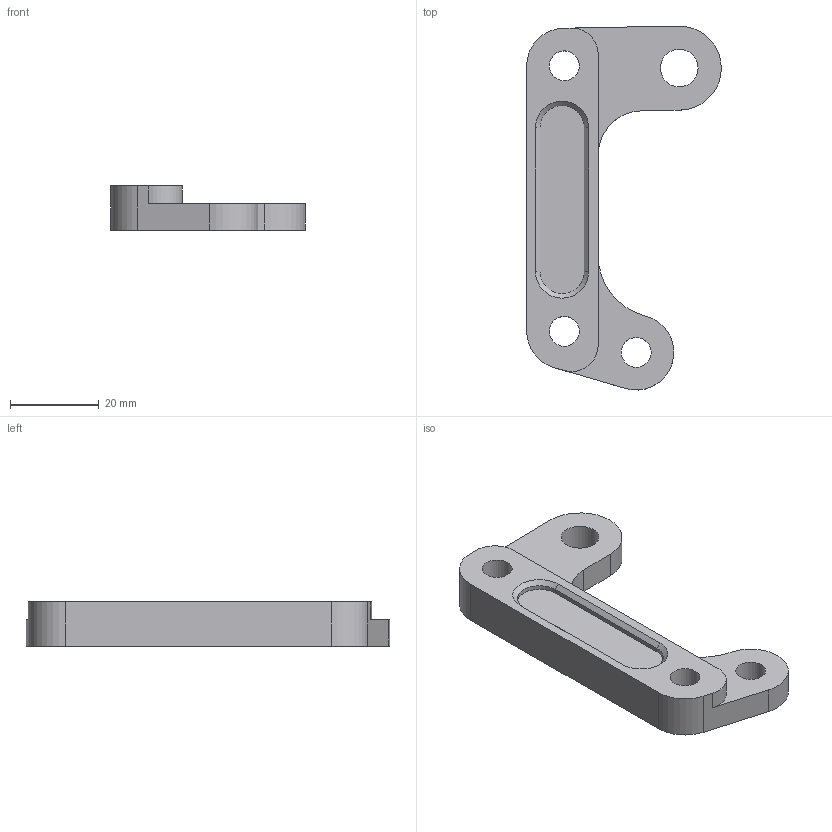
import cadquery as cq
import math

base_height = 6.0
total_height = 10.0

bar_width = 16.15
bar_end_radius = 8.5
hole_spacing = 60.0
raised_corner_radius = 6.0
lower_bar_centre = (bar_end_radius, 0.0)
upper_bar_centre = (bar_end_radius, hole_spacing)

lower_lug_radius = 8.5
upper_lug_radius = 9.5
lower_lug_centre = (bar_end_radius + 16.25, -4.75)
upper_lug_centre = (bar_end_radius + 25.97, hole_spacing - 0.5)

lower_blend_radius = 14.0
upper_blend_radius = 10.0

small_hole_diameter = 6.75
large_hole_diameter = 8.5

pocket_centre = (8.0, 29.75)
pocket_length = 42.5
pocket_width = 10.0
pocket_depth = 2.0
pocket_chamfer = 1.0


def point_at(centre, radius, angle):
    """Point on a circle, with the angle in radians from +X."""
    return (centre[0] + radius * math.cos(angle), centre[1] + radius * math.sin(angle))


def outer_edge_normal(bar_centre, lug_centre, lug_radius, side):
    """Outward normal of the line tangent to bar end and lug; side is +1 above, -1 below."""
    axis_angle = math.atan2(lug_centre[1] - bar_centre[1], lug_centre[0] - bar_centre[0])
    spread = math.acos((bar_end_radius - lug_radius) / math.dist(bar_centre, lug_centre))
    return axis_angle + side * spread


def blend_centre(lug_centre, lug_radius, blend_radius, inner_normal):
    """Centre of the arc that is tangent to the lug's inner edge and the bar's right face."""
    above_lug = point_at(lug_centre, lug_radius + blend_radius, inner_normal)
    edge_angle = inner_normal + math.pi / 2
    slide = (bar_width + blend_radius - above_lug[0]) / math.cos(edge_angle)
    return point_at(above_lug, slide, edge_angle)


def make_outline():
    """Outline of the bar and both lugs: six arcs joined by straight lines."""
    lower_normal = outer_edge_normal(lower_bar_centre, lower_lug_centre, lower_lug_radius, -1)
    upper_normal = outer_edge_normal(upper_bar_centre, upper_lug_centre, upper_lug_radius, 1)
    lower_inner = lower_normal + math.pi
    upper_inner = upper_normal - math.pi
    lower_blend = blend_centre(lower_lug_centre, lower_lug_radius, lower_blend_radius, lower_inner)
    upper_blend = blend_centre(upper_lug_centre, upper_lug_radius, upper_blend_radius, upper_inner)

    arcs = [
        (lower_bar_centre, bar_end_radius, -math.pi, lower_normal),
        (lower_lug_centre, lower_lug_radius, lower_normal, lower_inner),
        (lower_blend, lower_blend_radius, lower_normal, -math.pi),
        (upper_blend, upper_blend_radius, math.pi, upper_normal),
        (upper_lug_centre, upper_lug_radius, upper_inner, upper_normal),
        (upper_bar_centre, bar_end_radius, upper_normal, math.pi),
    ]
    first_centre, first_radius, first_angle, _ = arcs[0]
    outline = cq.Workplane("XY").moveTo(*point_at(first_centre, first_radius, first_angle))
    for index, (centre, radius, start, end) in enumerate(arcs):
        if index > 0:
            outline = outline.lineTo(*point_at(centre, radius, start))
        middle = (start + end) / 2
        outline = outline.threePointArc(point_at(centre, radius, middle), point_at(centre, radius, end))
    return outline.close()


def make_body():
    """Base plate with the raised bar, whose right-hand corners are rounded."""
    base = make_outline().extrude(base_height)
    bar_limit = (
        cq.Workplane("XY", origin=(0, hole_spacing / 2, base_height))
        .box(bar_width, 2 * hole_spacing, total_height - base_height, centered=(False, True, False))
    )
    raised_bar = make_outline().extrude(total_height).intersect(bar_limit)
    raised_bar = raised_bar.edges("|Z and >X").fillet(raised_corner_radius)
    return base.union(raised_bar)


def make_holes(centres, diameter):
    """Cylinders that cut through the full height."""
    return cq.Workplane("XY").pushPoints(centres).circle(diameter / 2).extrude(total_height)


def make_pocket():
    """Straight-walled slot with a chamfered mouth."""
    slot = (
        cq.Workplane("XY", origin=(*pocket_centre, total_height))
        .slot2D(pocket_length, pocket_width, 90)
        .extrude(-pocket_depth)
    )
    mouth = (
        cq.Workplane("XY", origin=(*pocket_centre, total_height))
        .slot2D(pocket_length + 2 * pocket_chamfer, pocket_width + 2 * pocket_chamfer, 90)
        .extrude(-pocket_chamfer, taper=45)
    )
    return slot.union(mouth)


small_hole_centres = [lower_bar_centre, upper_bar_centre, lower_lug_centre]
result = (
    make_body()
    .cut(make_holes(small_hole_centres, small_hole_diameter))
    .cut(make_holes([upper_lug_centre], large_hole_diameter))
    .cut(make_pocket())
)